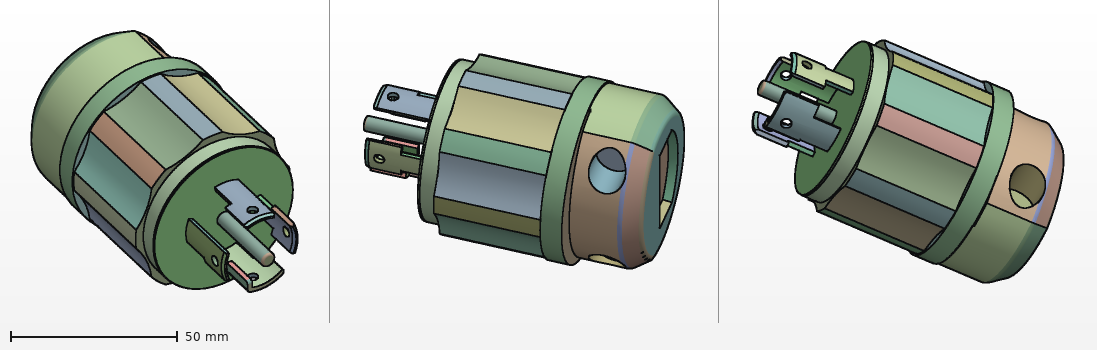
import cadquery as cq
import math


length = 93.3
cap_end = 22.3
collar_end = 29.1
grip_end = 62.8
seat_end = 68.1
face_end = 68.75
blade_shoulder = 77.9
blade_hole_x = 84.5
blade_tip = 89.2

collar_radius = 56.5 / 2
body_radius = 55.5 / 2
seat_radius = 50.0 / 2
face_step = 0.1
face_radius = seat_radius - face_step

bevel_length = 5.9
bevel_drop = 4.2
bevel_blend = 2.3
flat_radius = 32.5
flat_reach = 22.7
split_y = 1.3
split_gap = 0.6

opening_half_height = 15.0
opening_corner_y = -10.45
opening_reach_y = -16.3
opening_depth = 2.9
opening_draft = 10

recess_diameter = 11.4
recess_x = 11.7
recess_z = 18.6
recess_floor_y = 9.6

rib_count = 8
rib_half_angle = 7.4
scoop_depth = 1.0

pin_radius = 4.8 / 2
pin_rounding = 0.7
blade_outer_radius = 13.6
blade_inner_radius = 12.0
blade_hole_diameter = 3.3
tip_taper_length = 1.2
tip_taper_drop = 0.5
tip_corner_radius = 1.0

hook_shank = (-14, 22.5)
hook_head = (-23.8, 22.5)
wide_shank = (-22, 15.5)
wide_head = (-39, 18)
tee_shank = (-14, 14)
tee_head = (-24.5, 24.5)

leg_outer_y = 4.9
leg_thickness = 1.8
leg_top = 13.15
leg_bottom = 8.9
leg_bend_radius = 1.5


def disc(x_start, x_end, radius, y=0):
    """Cylinder along X whose axis passes through the given Y."""
    return cq.Workplane("YZ", origin=(x_start, y, 0)).circle(radius).extrude(x_end - x_start)


def bevelled_disc(radius, y=0):
    """Cap-length cylinder with a blended bevel around its cable end."""
    body = disc(0, cap_end, radius, y)
    body = body.faces("<X").edges().chamfer(bevel_length, bevel_drop)
    return body.faces("%CONE").edges("%CIRCLE").fillet(bevel_blend)


def cable_opening():
    """Shallow D-shaped opening with drafted walls and a straight wall on the split line."""
    outline = (
        cq.Workplane("YZ")
        .moveTo(2 * opening_half_height, -opening_half_height)
        .lineTo(opening_corner_y, -opening_half_height)
        .threePointArc((opening_reach_y, 0), (opening_corner_y, opening_half_height))
        .lineTo(2 * opening_half_height, opening_half_height)
        .close()
        .extrude(opening_depth, taper=opening_draft)
    )
    beyond_split = cq.Workplane("XY").box(length, length, length, centered=(True, False, True))
    return outline.cut(beyond_split.translate((0, split_y, 0)))


def cap():
    """Cap with one flattened side, standing clear of the collar beyond the split line."""
    body = bevelled_disc(body_radius)
    body = body.intersect(bevelled_disc(flat_radius, flat_reach - flat_radius))
    body = body.cut(cable_opening())
    gap = cq.Workplane("XY").box(split_gap, length, length, centered=(False, False, True))
    body = body.cut(gap.translate((cap_end - split_gap, split_y, 0)))
    for z in (-recess_z, recess_z):
        recess = (
            cq.Workplane("XZ", origin=(recess_x, flat_reach, z))
            .circle(recess_diameter / 2)
            .extrude(flat_reach - recess_floor_y)
        )
        body = body.cut(recess)
    return body


def grip():
    """Cylinder with a shallow concave scoop between each pair of neighbouring ribs."""
    body = disc(collar_end, grip_end, body_radius)
    pitch = 360 / rib_count
    half_span = math.radians(pitch / 2 - rib_half_angle)
    half_chord = body_radius * math.sin(half_span)
    chord_distance = body_radius * math.cos(half_span)
    scoop_radius = (half_chord**2 + scoop_depth**2) / (2 * scoop_depth)
    scoop_centre = chord_distance - scoop_depth + scoop_radius
    scoop = disc(collar_end, grip_end, scoop_radius, scoop_centre)
    for i in range(rib_count):
        body = body.cut(scoop.rotate((0, 0, 0), (1, 0, 0), (i + 0.5) * pitch))
    return body


def sector(outline, limits):
    """Revolve an (X, radius) outline about the axis between two angles measured from +Z to +Y."""
    low, high = limits
    band = cq.Workplane("XZ").polyline(outline).close()
    return band.revolve(high - low, (0, 0, 0), (1, 0, 0)).rotate((0, 0, 0), (1, 0, 0), -high)


def tip_envelope(limits):
    """Block around a blade head whose free corners are rounded."""
    low, high = [blade_outer_radius * math.sin(math.radians(limit)) for limit in limits]
    block = cq.Workplane("XY").box(
        blade_tip - blade_shoulder, high - low, blade_outer_radius, centered=False
    )
    block = block.edges("|Z and >X").fillet(tip_corner_radius)
    return block.translate((blade_shoulder, low, 0))


def blade(shank, head, angle, tip_taper):
    """Curved blade with radial side walls, built above the axis and turned about it by `angle`.

    `shank` and `head` are the (low, high) angular limits of the two lengths of the blade.
    """
    shank_outline = [
        (seat_end, blade_inner_radius),
        (blade_shoulder, blade_inner_radius),
        (blade_shoulder, blade_outer_radius),
        (seat_end, blade_outer_radius),
    ]
    taper_start = blade_tip - tip_taper_length
    head_outline = [
        (blade_shoulder, blade_inner_radius),
        (taper_start, blade_inner_radius),
        (blade_tip, blade_inner_radius + tip_taper),
        (blade_tip, blade_outer_radius - tip_taper),
        (taper_start, blade_outer_radius),
        (blade_shoulder, blade_outer_radius),
    ]
    body = sector(head_outline, head).intersect(tip_envelope(head))
    body = body.union(sector(shank_outline, shank))
    hole = cq.Workplane("XY").center(blade_hole_x, 0).circle(blade_hole_diameter / 2)
    return body.cut(hole.extrude(collar_radius)).rotate((0, 0, 0), (1, 0, 0), angle)


def bent_leg(angle):
    """Leg reaching towards the axis, with a rounded bend where it meets the blade."""
    leg = (
        cq.Workplane("XY")
        .box(blade_tip - blade_shoulder, leg_thickness, leg_top - leg_bottom, centered=False)
        .edges("|X and >Y and >Z")
        .fillet(leg_bend_radius)
        .edges("|Y and >X and <Z")
        .fillet(tip_corner_radius)
    )
    leg = leg.translate((blade_shoulder, leg_outer_y - leg_thickness, leg_bottom))
    return leg.rotate((0, 0, 0), (1, 0, 0), angle)


contacts = [
    blade(hook_shank, hook_head, 0, tip_taper_drop),
    blade(hook_shank, hook_head, 90, tip_taper_drop),
    blade(wide_shank, wide_head, 180, 0),
    bent_leg(180),
    blade(tee_shank, tee_head, 270, tip_taper_drop),
    disc(seat_end, length, pin_radius).faces(">X").edges().fillet(pin_rounding),
]

result = cap().union(disc(cap_end, collar_end, collar_radius)).union(grip())
result = result.union(disc(grip_end, seat_end, seat_radius))
result = result.union(disc(seat_end, face_end, face_radius))
for contact in contacts:
    result = result.union(contact)
result = result.solids()